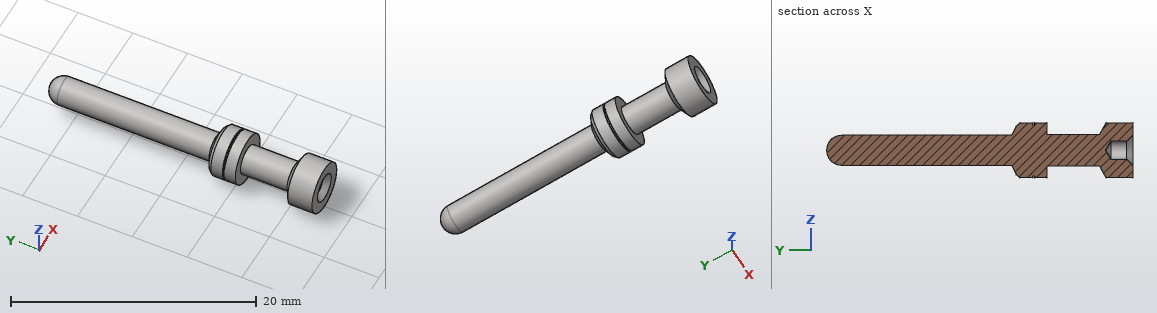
import cadquery as cq

total_length = 25.0
rim_radius = 2.25
neck_radius = 1.3
pin_radius = 1.25

head_length = 2.22
head_taper_end = 2.75

collar_start = 7.0
groove_start = 8.02
groove_width = 0.15
groove_depth = 0.15
collar_chamfer_start = 9.22
collar_chamfer_length = 0.3
collar_chamfer_depth = 0.25
collar_end = 9.9

mouth_radius = 1.25
bore_radius = 0.72
mouth_depth = 0.52
bore_depth = 1.8
bore_tip_length = 0.42

front_y = -total_length / 2
tip_y = front_y + total_length
tip_arc_offset = pin_radius * 0.5 ** 0.5


def along(distance):
    """Y position at a distance from the open end."""
    return front_y + distance


def revolve_about_y(profile):
    return profile.close().revolve(360, (0, 0, 0), (0, 1, 0))


def make_body():
    groove_radius = rim_radius - groove_depth
    groove_end = groove_start + groove_width
    dome_center_y = tip_y - pin_radius
    profile = (
        cq.Workplane("XY")
        .moveTo(0, front_y)
        .lineTo(rim_radius, front_y)
        .lineTo(rim_radius, along(head_length))
        .lineTo(neck_radius, along(head_taper_end))
        .lineTo(neck_radius, along(collar_start))
        .lineTo(rim_radius, along(collar_start))
        .lineTo(rim_radius, along(groove_start))
        .lineTo(groove_radius, along(groove_start))
        .lineTo(groove_radius, along(groove_end))
        .lineTo(rim_radius, along(groove_end))
        .lineTo(rim_radius, along(collar_chamfer_start))
        .lineTo(rim_radius - collar_chamfer_depth, along(collar_chamfer_start + collar_chamfer_length))
        .lineTo(pin_radius, along(collar_end))
        .lineTo(pin_radius, dome_center_y)
        .threePointArc((tip_arc_offset, dome_center_y + tip_arc_offset), (0, tip_y))
    )
    return revolve_about_y(profile)


def make_bore():
    profile = (
        cq.Workplane("XY")
        .moveTo(0, front_y)
        .lineTo(mouth_radius, front_y)
        .lineTo(bore_radius, along(mouth_depth))
        .lineTo(bore_radius, along(bore_depth))
        .lineTo(0, along(bore_depth + bore_tip_length))
    )
    return revolve_about_y(profile)


result = make_body().cut(make_bore())